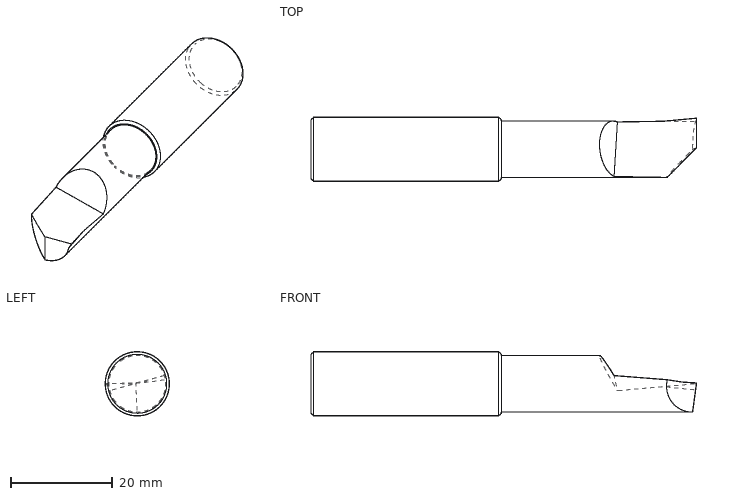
import cadquery as cq

length = 76.2
shank_radius = 6.36
shank_end = 37.65
shank_chamfer = 0.5
neck_radius = 5.6
margin = 7.6

wall_top_x = 57.1
wall_lean = 0.58
wall_skew = -0.1
floor_half_width = 6.85
floor_start_x = 56.4
floor_start_heights = (2.45, -2.2)
floor_end_heights = (0.4, 0.0)

head_start_x = 60.65
head_start_y = 5.4
tip_y = 6.2
flank_foot_y = 3.8
flank_foot_z = -(neck_radius**2 - flank_foot_y**2) ** 0.5
head_top_z = 2.3
end_relief = 0.8 / neck_radius
nose_x_minus_y = 75.9
nose_relief = 0.45 / neck_radius


def ruled_body(start, end):
    """Solid with straight sides between two matching closed 3D outlines."""
    wires = [cq.Wire.makePolygon([cq.Vector(*p) for p in outline], close=True) for outline in (start, end)]
    return cq.Workplane(obj=cq.Solid.makeLoft(wires, True))


def bar():
    shank = cq.Workplane("YZ").circle(shank_radius).extrude(shank_end).edges().chamfer(shank_chamfer)
    return shank.union(cq.Workplane("YZ").circle(neck_radius).extrude(length))


def head_side():
    """Flank widening toward the tip, relieved below the cutting edge."""
    def section(x, edge_y):
        return [
            (x, 0, head_top_z),
            (x, edge_y, head_top_z),
            (x, edge_y, 0),
            (x, flank_foot_y, flank_foot_z),
            (x, 0, flank_foot_z),
        ]
    return ruled_body(section(head_start_x, head_start_y), section(length, tip_y))


def chip_pocket():
    def floor_section(x, heights):
        return [
            (x, -floor_half_width, heights[0]),
            (x, floor_half_width, heights[1]),
            (x, floor_half_width, margin),
            (x, -floor_half_width, margin),
        ]

    def wall_section(y):
        def wall_x(z):
            return wall_top_x + wall_lean * (neck_radius - z) + wall_skew * y
        far_x = length + margin
        return [
            (wall_x(margin), y, margin),
            (far_x, y, margin),
            (far_x, y, -margin),
            (wall_x(-margin), y, -margin),
        ]

    above_floor = ruled_body(
        floor_section(floor_start_x, floor_start_heights),
        floor_section(length, floor_end_heights),
    )
    return above_floor.intersect(ruled_body(wall_section(-margin), wall_section(margin)))


def nose_envelope():
    """Space kept by the leaning end face and the 45 degree nose plane."""
    def outline(z):
        end_x = length + end_relief * z
        nose = nose_x_minus_y + nose_relief * z
        return [
            (-margin, -margin, z),
            (nose - margin, -margin, z),
            (end_x, end_x - nose, z),
            (end_x, margin, z),
            (-margin, margin, z),
        ]
    return ruled_body(outline(-margin), outline(margin))


result = bar().union(head_side()).cut(chip_pocket()).intersect(nose_envelope())